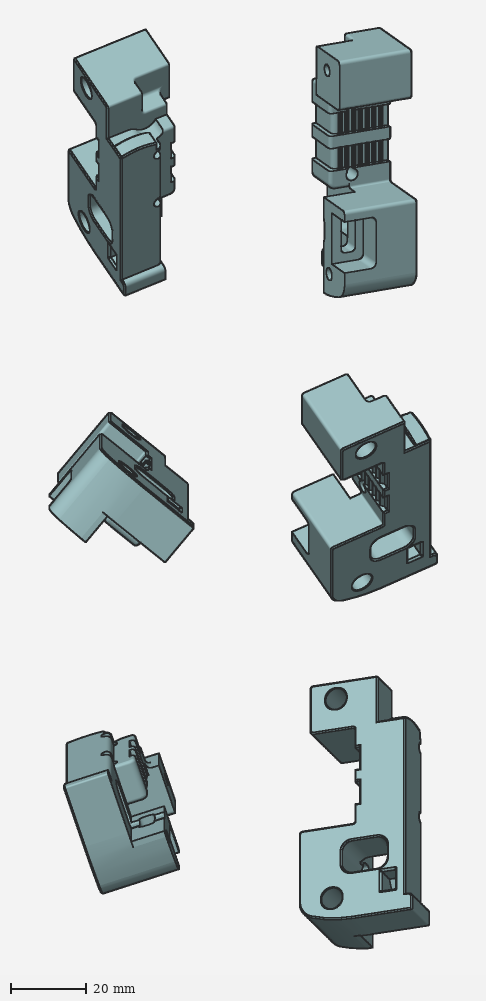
import cadquery as cq
import math

width = 32.4
depth = 21.6
height = 68.75
edge_chamfer = 0.4
over = 5.0
margin = 0.1

block_left = 3.05
block_right = 22.55
block_bottom = 54.8
column_top = 55.65
column_right = 30.4
neck_left = 15.9
lower_top = 27.3
corner_radius = 1.0
block_right_radius = 0.7
neck_radius = 0.6

foot_top = 4.85
foot_radius = 1.4
foot_corner = 0.5

bend_start_z = 6.7
bend_end_x = 15.2
bend_radius = 5.0

belt_center_z = 41.0
window_height = 6.4
band_height = 3.5
window_floor = 17.24
tooth_tip_x = 16.3
tooth_pitch = 2.0
tooth_tip_width = 0.38
tooth_count = 7
first_tooth_y = 2.875
belt_rear_y = 16.75
belt_corner_radius = 1.4
belt_corner_y = belt_rear_y - belt_corner_radius

cross_hole_diameter = 3.4
cross_hole_y = 11.6
cross_hole_offset = 10.0
joined_gap = 5

step_y = 10.75
step_x = 17.05
shelf_z = 60.0
column_rear_y = 18.2
inner_column_right = 27.2
thin_rear_y = 12.4
cavity_left = 12.6
rear_bottom = 0.25
step_round = 0.7
shelf_fillet = 1.0
step_corner_radius = 1.05
side_corner_radius = 1.6
inner_column_radius = 0.9
thin_edge_radius = 1.4
neck_rear_radius = 1.0
neck_bottom_radius = 1.85
neck_bottom = 27.5

trough_start_y = 6.0
trough_radius = 3.5
crest_radius = 4.0
trough_angle = math.radians(45)

tab_left = 25.65
tab_rear_y = 11.0
tab_base_z = 55.9
tab_peak_z = 56.8
tab_chamfer = 0.4
tab_rear_round = 1.0

screw_holes = [(10.56, 63.9, 3.2), (9.36, 6.58, 3.4)]
counterbore_diameter = 6.0
counterbore_depth = 10.0
counterbore_chamfer = 0.2
bridge_step = 0.25

opening_center = (18.65, 17.85)
opening_size = (13.0, 9.1)
opening_radius = 3.0

pocket_center = (25.45, 9.45)
pocket_size = (3.9, 5.5)
pocket_chamfer = 0.6
pocket_depth = 6.0
pocket_wedge = 1.6

recess_bottom = 9.95
recess_top = 24.4
recess_front_y = 12.25
recess_radius = 1.6
recess_depth = 7.7
slot_center = (16.75, 17.5)
slot_size = (4.2, 10.0)
slot_radius = 1.3

windows = [
    belt_center_z + side * (band_height + window_height) / 2
    for side in (-1, 1)
]


def box(x0, x1, y0, y1, z0, z1):
    """Box given by its limits along each axis."""
    return cq.Workplane("XY").box(x1 - x0, y1 - y0, z1 - z0, centered=False).translate((x0, y0, z0))


def front_plane():
    """XZ workplane on the front face; a negative extrusion goes toward the rear."""
    return cq.Workplane("XZ")


def rounded_prism(center, size, radius, length):
    """Rounded rectangle on the front plane, extruded toward the rear."""
    return front_plane().center(*center).rect(*size).extrude(-length).edges("|Y").fillet(radius)


def edges_near(x, y, z):
    """Selector for edges centered close to a point; None leaves an axis free."""
    far = 2 * height
    low = tuple(-far if value is None else value - margin for value in (x, y, z))
    high = tuple(far if value is None else value + margin for value in (x, y, z))
    return cq.selectors.BoxSelector(low, high)


def make_body():
    """Full-depth extrusion of the front outline, with its front edge chamfered."""
    run = bend_end_x - bend_radius
    wide_radius = (run**2 + bend_start_z**2 - bend_radius**2) / (2 * (bend_start_z - bend_radius))
    lean = math.atan2(run, wide_radius - bend_start_z)

    def wide_point(angle):
        return (bend_end_x - wide_radius * math.sin(angle), wide_radius * (1 - math.cos(angle)))

    def bend_point(angle):
        return (bend_radius * (1 - math.sin(angle)), bend_start_z - bend_radius * math.cos(angle))

    outline = (
        front_plane()
        .moveTo(block_left, height)
        .lineTo(block_right, height)
        .lineTo(block_right, column_top)
        .lineTo(column_right, column_top)
        .lineTo(column_right, foot_top)
        .lineTo(width, foot_top)
        .lineTo(width, 0)
        .lineTo(bend_end_x, 0)
        .threePointArc(wide_point(lean / 2), wide_point(lean))
        .threePointArc(bend_point((lean + math.pi / 2) / 2), (0, bend_start_z))
        .lineTo(0, lower_top)
        .lineTo(neck_left, lower_top)
    )
    for z in windows:
        bottom = z - window_height / 2
        top = z + window_height / 2
        outline = (
            outline.lineTo(neck_left, bottom)
            .lineTo(window_floor, bottom)
            .lineTo(window_floor, top)
            .lineTo(neck_left, top)
        )
    body = outline.lineTo(neck_left, block_bottom).lineTo(block_left, block_bottom).close().extrude(-depth)

    rounded = [
        (block_left, height, corner_radius),
        (block_left, block_bottom, corner_radius),
        (0, lower_top, corner_radius),
        (block_right, height, block_right_radius),
        (neck_left, lower_top, neck_radius),
        (neck_left, block_bottom, neck_radius),
        (width, foot_top, foot_radius),
        (width, 0, foot_corner),
    ]
    for x, z, radius in rounded:
        body = body.edges("|Y").edges(edges_near(x, None, z)).fillet(radius)
    return body.faces("<Y").edges().chamfer(edge_chamfer)


def make_neck_form():
    """Envelope of the rear of the neck, rounded along its left edge and its bottom."""
    form = box(neck_left, width, thin_rear_y, column_rear_y, neck_bottom, height)
    form = form.edges("|X and >Y and <Z").fillet(neck_bottom_radius)
    return form.edges("<X").edges(">Y or <Z").fillet(neck_rear_radius)


def cut_rear_steps(body):
    """Stepped rear: shelf, neck, inner column, thin right edge and the cavity below the neck."""
    far_x = width + over
    far_y = depth + over
    far_z = height + over

    side = box(step_x, far_x, column_rear_y, far_y, -over, far_z)
    side = side.edges("|Z and <X and <Y").fillet(side_corner_radius)
    shelf = box(step_x, far_x, step_y, far_y, shelf_z, far_z)
    shelf = shelf.edges("|Z and <X and <Y").fillet(step_corner_radius)
    shelf = shelf.faces("<Z").edges("<X or <Y").fillet(shelf_fillet)
    neck = box(neck_left, far_x, thin_rear_y, far_y, neck_bottom, block_bottom).cut(make_neck_form())
    neck_fillet_rear = box(neck_left - neck_radius, far_x, column_rear_y, far_y, neck_bottom, block_bottom)
    thin = box(inner_column_right, far_x, thin_rear_y, far_y, -over, far_z)
    cavity = box(cavity_left, far_x, thin_rear_y, far_y, -over, neck_bottom)
    cavity_lip = box(cavity_left, neck_left, thin_rear_y, far_y, lower_top, lower_top + neck_radius)
    relief = box(-over, far_x, thin_rear_y, far_y, -over, rear_bottom)
    for cutter in (side, shelf, neck, neck_fillet_rear, thin, cavity, cavity_lip, relief):
        body = body.cut(cutter)
    return body


def round_rear_edges(body):
    """Roundings on the edges left by the rear steps."""
    roundings = [
        ("|Z", edges_near(column_right, thin_rear_y, None), thin_edge_radius),
        ("|Z", edges_near(inner_column_right, column_rear_y, None), inner_column_radius),
        ("|Y", edges_near(inner_column_right, None, column_top), inner_column_radius),
        ("|Y", edges_near(block_right, None, shelf_z), block_right_radius),
        ("|X", edges_near(None, column_rear_y, shelf_z), step_round),
    ]
    for direction, place, radius in roundings:
        body = body.edges(direction).edges(place).fillet(radius)
    return body


def cut_trough(body):
    """Trough along X over the inner column: a convex crest leading into a concave round."""
    sine = math.sin(trough_angle)
    cosine = math.cos(trough_angle)
    half_sine = math.sin(trough_angle / 2)
    half_cosine = math.cos(trough_angle / 2)
    crest_end_y = trough_start_y + crest_radius * sine
    crest_end_z = column_top - crest_radius * (1 - cosine)
    center_y = crest_end_y + trough_radius * sine
    center_z = crest_end_z + trough_radius * cosine
    crest_middle = (trough_start_y + crest_radius * half_sine, column_top - crest_radius * (1 - half_cosine))
    trough = (
        cq.Workplane("YZ", origin=(block_right, 0, 0))
        .moveTo(trough_start_y, column_top)
        .threePointArc(crest_middle, (crest_end_y, crest_end_z))
        .threePointArc((center_y, center_z - trough_radius), (center_y + trough_radius, center_z))
        .lineTo(trough_start_y, center_z)
        .close()
        .extrude(width - block_right)
    )
    return body.cut(trough)


def make_tab():
    """Arched tab standing on the top of the column."""
    tab = (
        cq.Workplane("YZ", origin=(tab_left, 0, 0))
        .moveTo(edge_chamfer, tab_base_z)
        .threePointArc((tab_rear_y / 2, tab_peak_z), (tab_rear_y, tab_base_z))
        .lineTo(tab_rear_y, column_top - trough_radius)
        .lineTo(edge_chamfer, column_top - trough_radius)
        .close()
        .extrude(column_right - tab_left)
    )
    tab = tab.edges("|X").edges(edges_near(None, tab_rear_y, tab_base_z)).fillet(tab_rear_round)
    return tab.faces("<X or >X").edges("%CIRCLE").chamfer(tab_chamfer)


def saw_tooth(y, bottom):
    """Tooth with a sloped front flank, a flat tip and a square rear; y is the middle of the tip."""
    half_tip = tooth_tip_width / 2
    rear = y + half_tip
    return (
        cq.Workplane("XY", origin=(0, 0, bottom))
        .moveTo(window_floor, y - tooth_pitch / 2)
        .lineTo(tooth_tip_x, y - half_tip)
        .lineTo(tooth_tip_x, rear)
        .lineTo(window_floor, rear)
        .close()
        .extrude(window_height)
    )


def cut_belt_path(body):
    """Belt channel around the rear corner of the neck, and the teeth in both windows."""
    for z in windows:
        bottom = z - window_height / 2
        top = z + window_height / 2
        channel = box(neck_left - over, width, belt_corner_y, depth, bottom, top)
        kept = box(window_floor, width, 0, belt_rear_y, bottom, top)
        kept = kept.edges("|Z and <X and >Y").fillet(belt_corner_radius)
        body = body.cut(channel.cut(kept))
        for index in range(tooth_count):
            body = body.union(saw_tooth(first_tooth_y + index * tooth_pitch, bottom))
    return body


def cut_screw_hole(body, x, z, diameter):
    """Through hole with a chamfered counterbore and two stepped bridging layers."""
    floor = counterbore_depth
    square_floor = floor + 2 * bridge_step
    half = diameter / 2
    half_bore = counterbore_diameter / 2
    bore = front_plane().center(x, z).circle(half_bore).extrude(-floor)
    rim = (
        front_plane()
        .center(x, z)
        .circle(half_bore + counterbore_chamfer)
        .workplane(offset=-counterbore_chamfer)
        .circle(half_bore)
        .loft()
    )
    hole = front_plane().center(x, z).circle(half).extrude(-depth)
    square = box(x - half, x + half, floor, square_floor, z - half, z + half)
    slot = box(x - half, x + half, floor, floor + bridge_step, z - half_bore, z + half_bore)
    slot = slot.intersect(front_plane().center(x, z).circle(half_bore).extrude(-depth))
    return body.cut(bore).cut(rim).cut(hole).cut(square).cut(slot)


def flared_rim(center, size, radius, chamfer):
    """Chamfer cutter around a rectangular opening in the front face."""
    grown = (size[0] + 2 * chamfer, size[1] + 2 * chamfer)
    rim = rounded_prism(center, grown, radius + chamfer, 2 * chamfer)
    return rim.translate((0, -chamfer, 0)).faces(">Y").edges().chamfer(chamfer)


def cut_opening(body):
    """Rounded window through the lower block, chamfered at the front."""
    opening = rounded_prism(opening_center, opening_size, opening_radius, depth)
    rim = flared_rim(opening_center, opening_size, opening_radius, edge_chamfer)
    return body.cut(opening).cut(rim)


def cut_pocket(body):
    """Rectangular pocket whose end narrows to a horizontal line."""
    x, z = pocket_center
    half_width = pocket_size[0] / 2
    half_height = pocket_size[1] / 2
    pocket = (
        cq.Workplane("YZ", origin=(x - half_width, 0, 0))
        .polyline(
            [
                (0, z - half_height),
                (pocket_depth, z - half_height),
                (pocket_depth + pocket_wedge, z),
                (pocket_depth, z + half_height),
                (0, z + half_height),
            ]
        )
        .close()
        .extrude(pocket_size[0])
    )
    rim = flared_rim(pocket_center, pocket_size, 0, pocket_chamfer)
    return body.cut(pocket).cut(rim)


def cut_recess_and_slot(body):
    """Recess open to the left and rear, with a slot through the wall behind it."""
    recess = box(-over, recess_depth, recess_front_y, depth + over, recess_bottom, recess_top)
    recess = recess.edges("|X and <Y").fillet(recess_radius)
    slot = (
        cq.Workplane("YZ").center(*slot_center).rect(*slot_size).extrude(width)
        .edges("|X").fillet(slot_radius)
    )
    return body.cut(recess).cut(slot)


def cut_cross_holes(body):
    """Holes along X, each joined to its window by the tooth gap that runs on into it."""
    outside = neck_left - over
    gap_front = first_tooth_y + (joined_gap - 1) * tooth_pitch + tooth_tip_width / 2
    next_tooth_y = first_tooth_y + joined_gap * tooth_pitch
    next_tip_rear = next_tooth_y + tooth_tip_width / 2
    gap = [
        (outside, gap_front),
        (window_floor, gap_front),
        (window_floor, next_tooth_y - tooth_pitch / 2),
        (tooth_tip_x, next_tooth_y - tooth_tip_width / 2),
        (tooth_tip_x, next_tip_rear),
        (outside, next_tip_rear),
    ]
    reach = cross_hole_offset - band_height / 2 - window_height
    for side in (-1, 1):
        z = belt_center_z + side * cross_hole_offset
        hole = cq.Workplane("YZ").center(cross_hole_y, z).circle(cross_hole_diameter / 2).extrude(width)
        low = z if side < 0 else z - reach
        passage = cq.Workplane("XY", origin=(0, 0, low)).polyline(gap).close().extrude(reach)
        body = body.cut(hole).cut(passage)
    return body


result = make_body()
result = cut_rear_steps(result)
result = round_rear_edges(result)
result = cut_trough(result)
result = result.union(make_tab())
result = cut_belt_path(result)
for hole_x, hole_z, hole_diameter in screw_holes:
    result = cut_screw_hole(result, hole_x, hole_z, hole_diameter)
result = cut_opening(result)
result = cut_pocket(result)
result = cut_recess_and_slot(result)
result = cut_cross_holes(result)